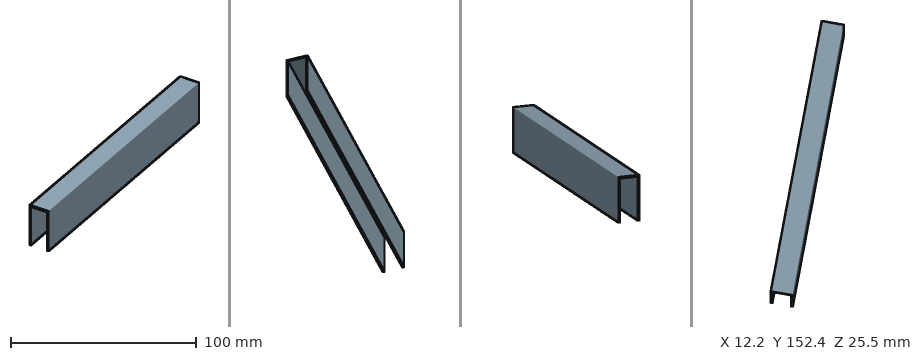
import cadquery as cq

length = 152.4
width = 12.2
height = 25.5
wall = 1.0
edge_radius = 0.5

bar = cq.Workplane("XY").box(width, length, height)
bar = bar.edges("|Y and >Z").fillet(edge_radius)

hollow = cq.Workplane("XY").box(width - 2 * wall, length, height).translate((0, 0, -wall))

result = bar.cut(hollow)